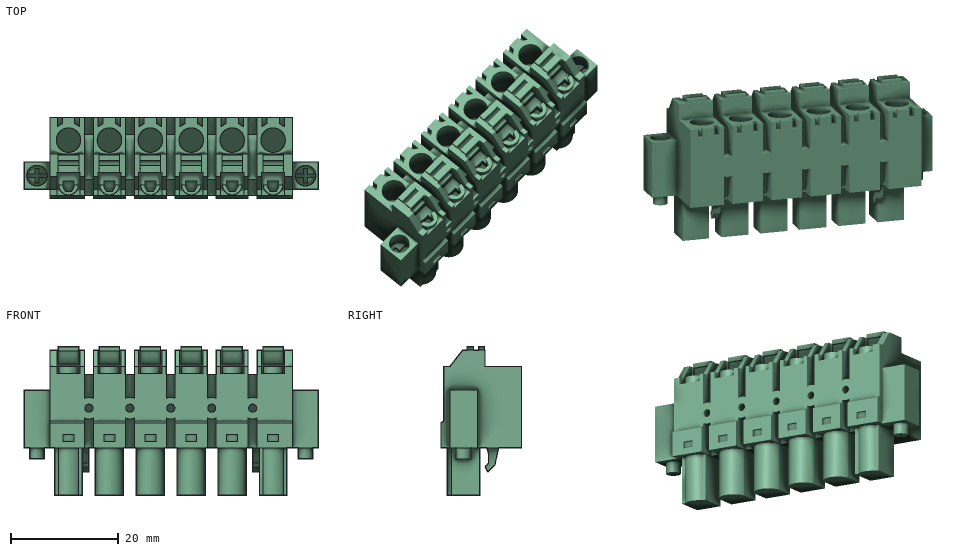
import cadquery as cq
import math


POLE_COUNT = 6
PITCH = 7.6
LENGTH = 54.8
HOUSING_LENGTH = 45.15
ROW_CENTER_X = -0.08
GAP_WIDTH = 1.65

DEPTH = 14.5
SHOULDER_Z = 15.2
TOWER_TOP_Z = 18.2
TOWER_BACK_Y = 7.7
TOWER_FRONT_Y = 3.5
SLOPE_FOOT_Y = 1.15
LIP_DEPTH = 0.55
LIP_TOP_Z = 4.65
LIP_BEVEL = 0.4

GAP_FLOOR_Z = 13.7
GAP_FRONT_DEPTH = 2.95
GAP_BACK_DEPTH = 3.2
BRIDGE_Z = 7.4
BRIDGE_RADIUS = 2.0
BRIDGE_HOLE_DIAMETER = 1.5

WINDOW_WIDTH = 2.0
WINDOW_HEIGHT = 1.3
WINDOW_BOTTOM_Z = 1.15
WINDOW_DEPTH = 0.55

WIRE_HOLE_DIAMETER = 4.55
WIRE_HOLE_Y = 10.3
WIRE_HOLE_DEPTH = 8.2
NOTCH_INNER_X = 1.15
NOTCH_OUTER_X = 2.1
NOTCH_INNER_DEPTH = 1.1
NOTCH_OUTER_DEPTH = 1.7
NOTCH_HEIGHT = 1.65

RECESS_WIDTH = 4.35
RECESS_FLOOR_Z = 13.85
RECESS_BACK_Y = 4.35
COLLAR_RADIUS = 1.8
COLLAR_Y = 1.9
KEYHOLE_HALF_WIDTH = 1.05
KEYHOLE_BACK_Y = 2.75
KEYHOLE_FRONT_Y = 0.75
KEYHOLE_CHAMFER_WIDTH = 0.5
KEYHOLE_CHAMFER_DEPTH = 0.9
KEYHOLE_DEPTH = 1.65

LEVER_WIDTH = 3.85
LEVER_BOTTOM_Z = 15.6
LEVER_TOP_Z = 18.85
LEVER_BACK_Y = 7.55
LEVER_FACE_SETBACK = 0.65
LEVER_NOSE_BOTTOM_Z = 18.0
LEVER_GROOVE_FRONT_Y = 5.6
LEVER_GROOVE_BACK_Y = 6.5

BARREL_BOTTOM_Z = -8.8
BARREL_WIDTH = 5.3
BARREL_RADIUS = 2.75
BARREL_FRONT_Y = 0.65
BARREL_BACK_Y = 6.75
END_BARREL_WIDTH = 5.15
END_BARREL_CORNER_Y = 1.4

HOOK_WIDTH = 1.3
HOOK_PROFILE = [
    (10.25, 0.0), (9.55, -3.2), (8.2, -4.5), (7.65, -3.5), (8.3, -2.85), (8.3, -1.1), (8.0, 0.0),
]

FLANGE_FRONT_Y = 1.15
FLANGE_BACK_Y = 6.25
FLANGE_HEIGHT = 10.75
HEAD_DIAMETER = 3.85
HEAD_TOP_Z = 7.1
HEAD_HEIGHT = 2.2
SHANK_DIAMETER = 2.75
SHANK_BOTTOM_Z = -2.0
CROSS_LONG_WIDTH = 0.6
CROSS_SHORT_WIDTH = 0.8
CROSS_SHORT_LENGTH = 2.7
CROSS_DEPTH = 0.8

POLE_XS = [ROW_CENTER_X + (i - (POLE_COUNT - 1) / 2) * PITCH for i in range(POLE_COUNT)]
GAP_XS = [x + PITCH / 2 for x in POLE_XS[:-1]]
FLANGE_LENGTH = (LENGTH - HOUSING_LENGTH) / 2
FLANGE_X = (LENGTH - FLANGE_LENGTH) / 2
FLANGE_Y = (FLANGE_FRONT_Y + FLANGE_BACK_Y) / 2
SCREW_PLACES = [(-FLANGE_X, FLANGE_Y), (FLANGE_X, FLANGE_Y)]
BARREL_AXIS_Y = BARREL_FRONT_Y + BARREL_RADIUS
BARREL_CORNER_Y = BARREL_AXIS_Y - math.sqrt(BARREL_RADIUS**2 - (BARREL_WIDTH / 2) ** 2)


def block(x_range, y_range, z_range):
    """Box given by its low and high limits along each axis."""
    lows, highs = zip(x_range, y_range, z_range)
    sizes = [high - low for low, high in zip(lows, highs)]
    return cq.Workplane("XY").box(*sizes, centered=False).translate(lows)


def around(center, width):
    """Low and high limits of a width centred on a place."""
    return (center - width / 2, center + width / 2)


def cylinder(x, y, diameter, z_range):
    """Upright cylinder between two heights."""
    low, high = z_range
    return cq.Workplane("XY").workplane(offset=low).center(x, y).circle(diameter / 2).extrude(high - low)


def side_prism(points, x_range):
    """Prism along X from an outline of (y, z) points."""
    low, high = x_range
    return cq.Workplane("YZ").workplane(offset=low).polyline(points).close().extrude(high - low)


def housing_blank():
    """Stepped profile of the row, before the slots are cut."""
    points = [
        (DEPTH, 0),
        (DEPTH, SHOULDER_Z),
        (TOWER_BACK_Y, SHOULDER_Z),
        (TOWER_BACK_Y, TOWER_TOP_Z),
        (TOWER_FRONT_Y, TOWER_TOP_Z),
        (SLOPE_FOOT_Y, SHOULDER_Z),
        (0, SHOULDER_Z),
        (0, LIP_TOP_Z + LIP_BEVEL),
        (-LIP_DEPTH, LIP_TOP_Z),
        (-LIP_DEPTH, 0),
    ]
    return side_prism(points, around(0, HOUSING_LENGTH))


def gap_cutter(x):
    """Slot between two poles: shallow in the middle, full height at the front and back walls."""
    width = around(x, GAP_WIDTH)
    cutter = block(width, (-LIP_DEPTH, DEPTH), (GAP_FLOOR_Z, TOWER_TOP_Z))
    for y_range in ((-LIP_DEPTH, GAP_FRONT_DEPTH), (DEPTH - GAP_BACK_DEPTH, DEPTH)):
        cutter = cutter.union(block(width, y_range, (0, TOWER_TOP_Z)))
    bridge = cq.Workplane("XZ").center(x, BRIDGE_Z).circle(BRIDGE_RADIUS).extrude(-DEPTH)
    return cutter.cut(bridge)


def bridge_hole(x):
    """Blind hole in the front of a bridge."""
    return (
        cq.Workplane("XZ")
        .center(x, BRIDGE_Z)
        .circle(BRIDGE_HOLE_DIAMETER / 2)
        .extrude(-GAP_FRONT_DEPTH)
    )


def lip_window(x):
    return block(
        around(x, WINDOW_WIDTH),
        (-LIP_DEPTH, WINDOW_DEPTH - LIP_DEPTH),
        (WINDOW_BOTTOM_Z, WINDOW_BOTTOM_Z + WINDOW_HEIGHT),
    )


def wire_entry(x):
    return cylinder(x, WIRE_HOLE_Y, WIRE_HOLE_DIAMETER, (SHOULDER_Z - WIRE_HOLE_DEPTH, SHOULDER_Z))


def rear_notch(x, side):
    """Notch in the back edge with a slanted end; side is -1 or 1."""
    points = [
        (x + side * NOTCH_INNER_X, DEPTH),
        (x + side * NOTCH_INNER_X, DEPTH - NOTCH_INNER_DEPTH),
        (x + side * NOTCH_OUTER_X, DEPTH - NOTCH_OUTER_DEPTH),
        (x + side * NOTCH_OUTER_X, DEPTH),
    ]
    return (
        cq.Workplane("XY")
        .workplane(offset=SHOULDER_Z - NOTCH_HEIGHT)
        .polyline(points)
        .close()
        .extrude(NOTCH_HEIGHT)
    )


def collar(x):
    """Front half of a round collar standing on the recess floor."""
    full = cylinder(x, COLLAR_Y, 2 * COLLAR_RADIUS, (RECESS_FLOOR_Z, SHOULDER_Z))
    front_half = block(around(x, RECESS_WIDTH), (0, COLLAR_Y), (RECESS_FLOOR_Z, SHOULDER_Z))
    return full.intersect(front_half)


def keyhole(x):
    """Chamfered opening through the collar and into the recess floor."""
    corner_y = KEYHOLE_FRONT_Y + KEYHOLE_CHAMFER_DEPTH
    tip = KEYHOLE_HALF_WIDTH - KEYHOLE_CHAMFER_WIDTH
    points = [
        (x - KEYHOLE_HALF_WIDTH, KEYHOLE_BACK_Y),
        (x - KEYHOLE_HALF_WIDTH, corner_y),
        (x - tip, KEYHOLE_FRONT_Y),
        (x + tip, KEYHOLE_FRONT_Y),
        (x + KEYHOLE_HALF_WIDTH, corner_y),
        (x + KEYHOLE_HALF_WIDTH, KEYHOLE_BACK_Y),
    ]
    bottom = RECESS_FLOOR_Z - KEYHOLE_DEPTH
    return cq.Workplane("XY").workplane(offset=bottom).polyline(points).close().extrude(SHOULDER_Z - bottom)


def lever_pocket(x):
    return block(around(x, LEVER_WIDTH), (RECESS_BACK_Y, LEVER_BACK_Y), (LEVER_BOTTOM_Z, TOWER_TOP_Z))


def front_recess(x):
    return block(around(x, RECESS_WIDTH), (0, RECESS_BACK_Y), (RECESS_FLOOR_Z, TOWER_TOP_Z))


def barrel(x, width, corner_y):
    """Contact barrel: a block whose front, from corner_y on, bulges out as a round cap."""
    z_range = (BARREL_BOTTOM_Z, 0)
    body = block(around(x, width), (corner_y, BARREL_BACK_Y), z_range)
    cap_limits = block(around(x, width), (BARREL_FRONT_Y, corner_y), z_range)
    cap = cylinder(x, BARREL_AXIS_Y, 2 * BARREL_RADIUS, z_range).intersect(cap_limits)
    return body.union(cap)


def hook(low_x):
    """Barbed latch hook under the housing; low_x is its low limit along X."""
    return side_prism(HOOK_PROFILE, (low_x, low_x + HOOK_WIDTH))


def flange(x):
    """End block with a stepped hole for its screw."""
    body = block(around(x, FLANGE_LENGTH), (FLANGE_FRONT_Y, FLANGE_BACK_Y), (0, FLANGE_HEIGHT))
    head_bore = cylinder(x, FLANGE_Y, HEAD_DIAMETER, (HEAD_TOP_Z - HEAD_HEIGHT, FLANGE_HEIGHT))
    shank_bore = cylinder(x, FLANGE_Y, SHANK_DIAMETER, (0, HEAD_TOP_Z))
    return body.cut(head_bore).cut(shank_bore)


def make_housing():
    body = housing_blank()
    for x in GAP_XS:
        body = body.cut(gap_cutter(x)).cut(bridge_hole(x))
    for x in POLE_XS:
        body = body.cut(lip_window(x)).cut(wire_entry(x))
        body = body.cut(rear_notch(x, -1)).cut(rear_notch(x, 1))
        body = body.cut(front_recess(x)).cut(lever_pocket(x))
        body = body.union(collar(x)).cut(keyhole(x))
    for x in POLE_XS[1:-1]:
        body = body.union(barrel(x, BARREL_WIDTH, BARREL_CORNER_Y))
    for x in (POLE_XS[0], POLE_XS[-1]):
        body = body.union(barrel(x, END_BARREL_WIDTH, END_BARREL_CORNER_Y))
    body = body.union(hook(GAP_XS[0] - HOOK_WIDTH)).union(hook(GAP_XS[-1]))
    for x in (-FLANGE_X, FLANGE_X):
        body = body.union(flange(x))
    return body


def make_lever(x):
    """Lever with a set-back face and two grip ridges around a round-bottomed groove."""
    face_y = RECESS_BACK_Y + LEVER_FACE_SETBACK
    groove_y = (LEVER_GROOVE_FRONT_Y + LEVER_GROOVE_BACK_Y) / 2
    groove_radius = (LEVER_GROOVE_BACK_Y - LEVER_GROOVE_FRONT_Y) / 2
    return (
        cq.Workplane("YZ")
        .workplane(offset=x - LEVER_WIDTH / 2)
        .moveTo(face_y, LEVER_BOTTOM_Z)
        .lineTo(LEVER_BACK_Y, LEVER_BOTTOM_Z)
        .lineTo(LEVER_BACK_Y, LEVER_TOP_Z)
        .lineTo(LEVER_GROOVE_BACK_Y, LEVER_TOP_Z)
        .lineTo(LEVER_GROOVE_BACK_Y, TOWER_TOP_Z)
        .threePointArc((groove_y, TOWER_TOP_Z - groove_radius), (LEVER_GROOVE_FRONT_Y, TOWER_TOP_Z))
        .lineTo(LEVER_GROOVE_FRONT_Y, LEVER_TOP_Z)
        .lineTo(RECESS_BACK_Y, LEVER_TOP_Z)
        .lineTo(RECESS_BACK_Y, LEVER_NOSE_BOTTOM_Z)
        .lineTo(face_y, LEVER_NOSE_BOTTOM_Z)
        .close()
        .extrude(LEVER_WIDTH)
    )


def make_screw(x, y):
    """Flange screw with a cross recess in its head."""
    head = cylinder(x, y, HEAD_DIAMETER, (HEAD_TOP_Z - HEAD_HEIGHT, HEAD_TOP_Z))
    shank = cylinder(x, y, SHANK_DIAMETER, (SHANK_BOTTOM_Z, HEAD_TOP_Z - HEAD_HEIGHT))
    cross_z = (HEAD_TOP_Z - CROSS_DEPTH, HEAD_TOP_Z)
    long_arm = block(around(x, HEAD_DIAMETER), around(y, CROSS_LONG_WIDTH), cross_z)
    short_arm = block(around(x, CROSS_SHORT_WIDTH), around(y, CROSS_SHORT_LENGTH), cross_z)
    return head.union(shank).cut(long_arm).cut(short_arm)


housing = make_housing()
levers = [make_lever(x) for x in POLE_XS]
screws = [make_screw(x, y) for x, y in SCREW_PLACES]

result = cq.Compound.makeCompound(
    [housing.val(), *[lever.val() for lever in levers], *[screw.val() for screw in screws]]
)